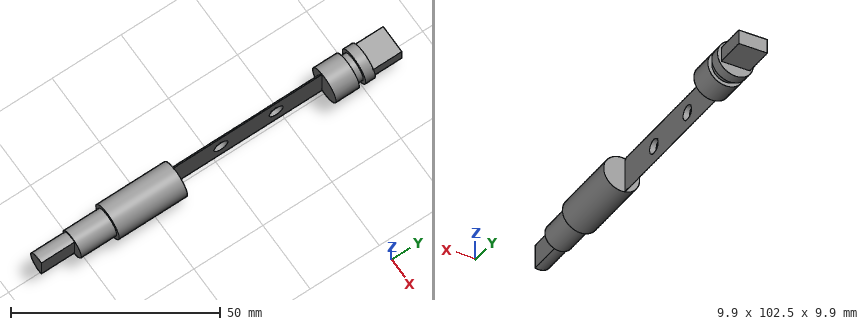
import cadquery as cq
import math

LENGTH = 102.5
BODY_DIAMETER = 9.9
FRONT_END = -LENGTH / 2
BACK_END = LENGTH / 2

TIP_DIAMETER = 7.0
TIP_LENGTH = 9.6
TIP_FLAT_X = 1.0
NECK_DIAMETER = 7.8
NECK_LENGTH = 10.2
FRONT_BODY_LENGTH = 19.8

HEAD_LENGTH = 11.4
GROOVE_DIAMETER = 7.8
GROOVE_WIDTH = 1.8
GROOVE_TO_HEAD_END = 2.8
TANG_LENGTH = 8.4
TANG_WIDTH = 7.9
TANG_THICKNESS = 4.0

WEB_FLAT_X = -0.9
WEB_CROWN_X = -2.8
FLANK_ANGLE = 24.0
WEB_HEIGHT = 9.7
HOLE_DIAMETER = 4.0
HOLE_COUNT = 2
HOLE_PITCH = 16.0
FIRST_HOLE_OFFSET = 13.3

NECK_START = FRONT_END + TIP_LENGTH
FRONT_BODY_START = NECK_START + NECK_LENGTH
WEB_START = FRONT_BODY_START + FRONT_BODY_LENGTH
HEAD_END = BACK_END - TANG_LENGTH
HEAD_START = HEAD_END - HEAD_LENGTH
GROOVE_END = HEAD_END - GROOVE_TO_HEAD_END
GROOVE_START = GROOVE_END - GROOVE_WIDTH


def section_plane(y):
    """Plane across the shaft at y, with local axes -X and Z; extrudes toward +Y."""
    return cq.Workplane(cq.Plane(origin=(0, y, 0), xDir=(-1, 0, 0), normal=(0, 1, 0)))


def cylinder(start, end, diameter):
    return section_plane(start).circle(diameter / 2).extrude(end - start)


def front_journal():
    """Body, neck and D-shaped tip."""
    tip = cylinder(FRONT_END, NECK_START, TIP_DIAMETER)
    beyond_flat = (
        cq.Workplane("XY")
        .box(TIP_DIAMETER, TIP_LENGTH, TIP_DIAMETER, centered=(False, False, True))
        .translate((TIP_FLAT_X, FRONT_END, 0))
    )
    neck = cylinder(NECK_START, FRONT_BODY_START, NECK_DIAMETER)
    body = cylinder(FRONT_BODY_START, WEB_START, BODY_DIAMETER)
    return tip.cut(beyond_flat).union(neck).union(body)


def rear_head():
    """Grooved head and drive tang."""
    collar = cylinder(HEAD_START, GROOVE_START, BODY_DIAMETER)
    groove_core = cylinder(GROOVE_START, GROOVE_END, GROOVE_DIAMETER)
    flange = cylinder(GROOVE_END, HEAD_END, BODY_DIAMETER)
    tang = section_plane(HEAD_END).rect(TANG_WIDTH, TANG_THICKNESS).extrude(TANG_LENGTH)
    return collar.union(groove_core).union(flange).union(tang)


def web():
    """Ridged web with cross holes through it."""
    half_height = WEB_HEIGHT / 2
    flank_run = math.sin(math.radians(FLANK_ANGLE))
    flank_rise = math.cos(math.radians(FLANK_ANGLE))
    blade = (
        section_plane(WEB_START)
        .moveTo(-WEB_FLAT_X, -half_height)
        .spline(
            [(-WEB_CROWN_X, 0), (-WEB_FLAT_X, half_height)],
            tangents=[(flank_run, flank_rise), (-flank_run, flank_rise)],
            includeCurrent=True,
        )
        .close()
        .extrude(HEAD_START - WEB_START)
    )
    for hole_number in range(HOLE_COUNT):
        hole_y = HEAD_START - FIRST_HOLE_OFFSET - hole_number * HOLE_PITCH
        hole = (
            cq.Workplane("YZ")
            .center(hole_y, 0)
            .circle(HOLE_DIAMETER / 2)
            .extrude(BODY_DIAMETER / 2, both=True)
        )
        blade = blade.cut(hole)
    return blade


result = front_journal().union(web()).union(rear_head())